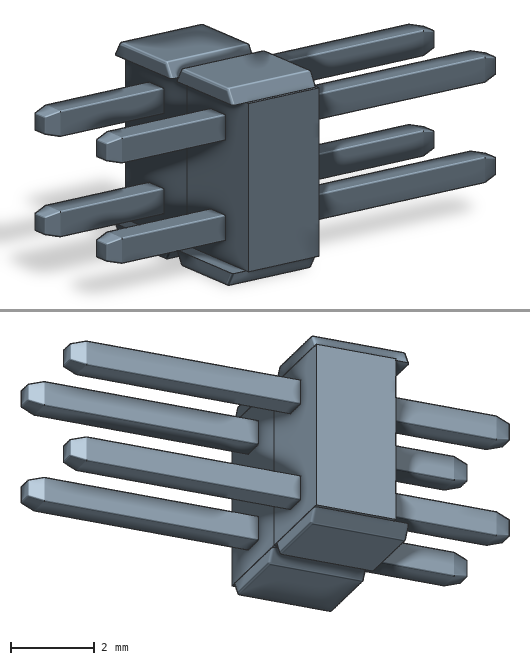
import cadquery as cq

PITCH = 2.54
COLUMNS = 2
ROWS = 2
TOTAL_HEIGHT = 5.0

PIN_LENGTH = 11.55
PIN_WIDTH = 0.65
PIN_TIP_WIDTH = 0.44
PIN_TIP_LENGTH = 0.39
PIN_EDGE_RADIUS = 0.04

HOUSING_HEIGHT = 4.26
HOUSING_DEPTH = 2.09
FRONT_PIN_EXPOSED = 3.45

CAP_BASE_WIDTH = 2.36
CAP_TOP_WIDTH = 1.92
CAP_DEPTH = 2.5
CAP_EDGE_RADIUS = 0.075

housing_front = -PIN_LENGTH / 2 + FRONT_PIN_EXPOSED
housing_back = housing_front + HOUSING_DEPTH
cap_height = (TOTAL_HEIGHT - HOUSING_HEIGHT) / 2
column_positions = [(i - (COLUMNS - 1) / 2) * PITCH for i in range(COLUMNS)]
row_positions = [(i - (ROWS - 1) / 2) * PITCH for i in range(ROWS)]


def make_pin():
    """Square pin centred on the origin along Y, with a tapered tip at each end."""
    shank_length = PIN_LENGTH - 2 * PIN_TIP_LENGTH
    shank = cq.Workplane("XY").box(PIN_WIDTH, shank_length, PIN_WIDTH)
    pin = shank
    for end in ("<Y", ">Y"):
        tip = (
            shank.faces(end).workplane()
            .rect(PIN_WIDTH, PIN_WIDTH)
            .workplane(offset=PIN_TIP_LENGTH)
            .rect(PIN_TIP_WIDTH, PIN_TIP_WIDTH)
            .loft(ruled=True, combine=False)
        )
        pin = pin.union(tip)
    long_edges = pin.edges("not(#Y)")
    end_edges = pin.faces("<Y or >Y").edges()
    return long_edges.add(end_edges).fillet(PIN_EDGE_RADIUS)


def make_housing(column_x, pins_in_column):
    """Block around one column of pins, with a through hole fitting each pin."""
    housing = (
        cq.Workplane("XY")
        .box(PITCH, HOUSING_DEPTH, HOUSING_HEIGHT, centered=(True, False, True))
        .translate((column_x, housing_front, 0))
    )
    for pin in pins_in_column:
        housing = housing.cut(pin)
    return housing


def make_cap():
    """Trapezoidal bar for the top of a housing at X = 0, flush at the back and overhanging in front."""
    profile = [
        (-CAP_BASE_WIDTH / 2, 0),
        (CAP_BASE_WIDTH / 2, 0),
        (CAP_TOP_WIDTH / 2, cap_height),
        (-CAP_TOP_WIDTH / 2, cap_height),
    ]
    cap = cq.Workplane("XZ").polyline(profile).close().extrude(CAP_DEPTH)
    cap = cap.edges("not <Z").fillet(CAP_EDGE_RADIUS)
    return cap.translate((0, housing_back, HOUSING_HEIGHT / 2))


pin_shape = make_pin()
top_cap = make_cap()
bottom_cap = top_cap.mirror("XY")

pins = []
housings = []
caps = []
for x in column_positions:
    column_pins = [pin_shape.translate((x, 0, z)) for z in row_positions]
    pins += column_pins
    housings.append(make_housing(x, column_pins))
    caps += [cap.translate((x, 0, 0)) for cap in (top_cap, bottom_cap)]

result = cq.Compound.makeCompound([body.val() for body in pins + housings + caps])